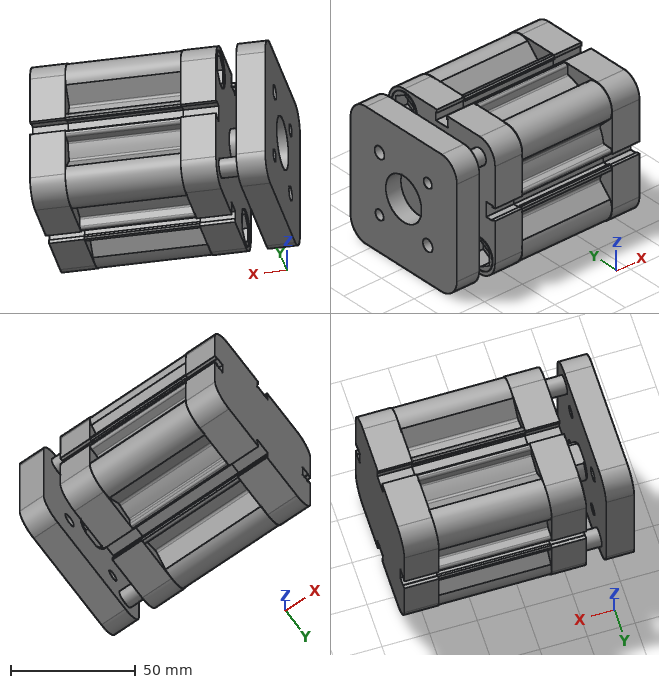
import cadquery as cq
import math


total_length = 96.5
side = 65.5
plate_thickness = 11.85
plate_gap = 8.3
cap_length = 14.5
tube_length = total_length - plate_thickness - plate_gap - 2 * cap_length
front_cap_x = plate_thickness + plate_gap
tube_x = front_cap_x + cap_length
rear_cap_x = tube_x + tube_length

corner_offset = 23.25
corner_radius = side / 2 - corner_offset

plate_bore_diameter = 22.0
plate_bore_depth = 8.0
plate_hole_circle = 42.0
plate_hole_offset = plate_hole_circle / 2 / math.sqrt(2)
pin_hole_diameter = 6.0
screw_hole_diameter = 5.0
guide_rod_diameter = 8.0
guide_rod_corners = [(-corner_offset, corner_offset), (corner_offset, -corner_offset)]

rod_diameter = 16.0
rod_chamfer = 0.65
rod_flats_width = 13.0
rod_flats_length = 6.7
rod_flats_fillet = 0.6

screw_corners = [(corner_offset, corner_offset), (-corner_offset, -corner_offset)]
screw_recess_diameter = 15.5
screw_recess_depth = 0.4
hex_flats = 11.0
hex_depth = 6.3
socket_turn = 30

slot_depth = 5.4
slot_lip = 1.6
slot_cavity_width = 7.2
cap_slot_mouth = 5.9
tube_slot_mouth = 5.2
tube_slot_chamfer = 0.7

tube_side = 65.0
lobe_radius = tube_side / 2 - corner_offset
lobe_edge = 19.2
barrel_radius = 28.1
rail_width = 10.7
rail_edge_fillet = 1.05
rail_root_fillet = 0.7
flank_root_fillet = 1.2
root_tolerance = 0.1


def section(x):
    """Workplane across the piston axis at x: local x is +Y, local y is +Z."""
    return cq.Workplane("YZ", origin=(x, 0, 0))


def rounded_block(x, length, width, radius):
    """Square block along X with rounded long edges."""
    return section(x).rect(width, width).extrude(length).edges("|X").fillet(radius)


def around_axis(shape):
    """The shape turned to each of the four long sides."""
    return [shape.rotate((0, 0, 0), (1, 0, 0), 90 * turn) for turn in range(4)]


def sensor_slot(x, length, width, mouth):
    """Cutter for the undercut slot in the +Z side of a block of the given width.

    The slot floor lies at the same height in the caps and the tube.
    """
    top = width / 2
    neck = section(x).center(0, top - slot_lip / 2).rect(mouth, slot_lip).extrude(length)
    floor = side / 2 - slot_depth
    ceiling = top - slot_lip
    cavity = (
        section(x)
        .center(0, (floor + ceiling) / 2)
        .rect(slot_cavity_width, ceiling - floor)
        .extrude(length)
    )
    return neck.union(cavity)


def make_plate():
    """Yoke plate with its two guide rods, on one diagonal."""
    plate = rounded_block(0, plate_thickness, side, corner_radius)
    plate = plate.cut(section(0).circle(plate_bore_diameter / 2).extrude(plate_bore_depth))
    for y_sign in (-1, 1):
        for z_sign in (-1, 1):
            diameter = pin_hole_diameter if y_sign == z_sign else screw_hole_diameter
            center = (y_sign * plate_hole_offset, z_sign * plate_hole_offset)
            plate = plate.cut(section(0).center(*center).circle(diameter / 2).extrude(plate_thickness))
    guide_rods = (
        section(plate_thickness)
        .pushPoints(guide_rod_corners)
        .circle(guide_rod_diameter / 2)
        .extrude(plate_gap + cap_length)
    )
    return plate.union(guide_rods)


def make_piston_rod():
    """Rod from the plate through the front cap, with two wrench flats at its free end."""
    rod = section(plate_thickness).circle(rod_diameter / 2).extrude(plate_gap + cap_length)
    rod = rod.faces("<X").chamfer(rod_chamfer)
    for z_sign in (-1, 1):
        flat_cutter = (
            cq.Workplane("XY")
            .box(2 * rod_flats_length, rod_diameter, rod_diameter)
            .edges(">X and |Y")
            .fillet(rod_flats_fillet)
            .translate((plate_thickness, 0, z_sign * (rod_flats_width + rod_diameter) / 2))
        )
        rod = rod.cut(flat_cutter)
    return rod


def make_cap(x):
    """Plain end cap with the four sensor slots running through."""
    cap = rounded_block(x, cap_length, side, corner_radius)
    for slot in around_axis(sensor_slot(x, cap_length, side, cap_slot_mouth)):
        cap = cap.cut(slot)
    return cap


def make_front_cap():
    """End cap with rod bores and, on the other diagonal, two hexagon socket screw heads."""
    cap = make_cap(front_cap_x)
    cap = cap.cut(section(front_cap_x).circle(rod_diameter / 2).extrude(cap_length))
    guide_bores = (
        section(front_cap_x)
        .pushPoints(guide_rod_corners)
        .circle(guide_rod_diameter / 2)
        .extrude(cap_length)
    )
    cap = cap.cut(guide_bores)
    recesses = (
        section(front_cap_x)
        .pushPoints(screw_corners)
        .circle(screw_recess_diameter / 2)
        .extrude(screw_recess_depth)
    )
    cap = cap.cut(recesses)
    hex_across_corners = hex_flats / math.cos(math.pi / 6)
    for y, z in screw_corners:
        socket = (
            section(front_cap_x)
            .polygon(6, hex_across_corners)
            .extrude(screw_recess_depth + hex_depth)
            .rotate((0, 0, 0), (1, 0, 0), socket_turn)
            .translate((0, y, z))
        )
        cap = cap.cut(socket)
    return cap


def corner_lobe():
    """Lobe at the (+Y, +Z) corner with its 45 degree web reaching into the barrel."""
    edge_high = corner_offset + math.sqrt(lobe_radius**2 - (corner_offset - lobe_edge) ** 2)
    tip = corner_offset + lobe_radius * math.cos(math.pi / 4)
    return (
        section(tube_x)
        .moveTo(0, edge_high - lobe_edge)
        .lineTo(lobe_edge, edge_high)
        .threePointArc((tip, tip), (edge_high, lobe_edge))
        .lineTo(edge_high - lobe_edge, 0)
        .close()
        .extrude(tube_length)
    )


def slot_rail():
    """Rail on the +Z side, from the barrel axis to the outer face of the tube."""
    height = tube_side / 2
    rail = section(tube_x).center(0, height / 2).rect(rail_width, height).extrude(tube_length)
    return rail.edges("|X and >Z").fillet(rail_edge_fillet)


def fillet_barrel_roots(body, from_middle, to_middle, radius):
    """Round the long concave edges on the barrel surface.

    Only edges within the given range of distances from the middle of a long side are rounded.
    """
    def is_root(edge):
        center = edge.Center()
        on_barrel = abs(math.hypot(center.y, center.z) - barrel_radius) < root_tolerance
        return on_barrel and from_middle < min(abs(center.y), abs(center.z)) < to_middle

    return body.edges("|X").filter(is_root).fillet(radius)


def tube_slot():
    """Cutter for the +Z sensor slot of the tube, with its mouth chamfered."""
    top = tube_side / 2
    half_mouth = tube_slot_mouth / 2
    slot = sensor_slot(tube_x, tube_length, tube_side, tube_slot_mouth)
    flare = (
        section(tube_x)
        .moveTo(-half_mouth, top - tube_slot_chamfer)
        .lineTo(-half_mouth - tube_slot_chamfer, top)
        .lineTo(half_mouth + tube_slot_chamfer, top)
        .lineTo(half_mouth, top - tube_slot_chamfer)
        .close()
        .extrude(tube_length)
    )
    return slot.union(flare)


def make_tube():
    """Profiled tube: round barrel, four corner lobes and four slotted rails."""
    tube = section(tube_x).circle(barrel_radius).extrude(tube_length)
    for part in around_axis(corner_lobe()) + around_axis(slot_rail()):
        tube = tube.union(part)
    tube = fillet_barrel_roots(tube, 0, rail_width, rail_root_fillet)
    tube = fillet_barrel_roots(tube, rail_width, corner_offset, flank_root_fillet)
    for cutter in around_axis(tube_slot()):
        tube = tube.cut(cutter)
    return tube


plate = make_plate()
piston_rod = make_piston_rod()
front_cap = make_front_cap()
tube = make_tube()
rear_cap = make_cap(rear_cap_x)

result = cq.Compound.makeCompound(
    [plate.val(), piston_rod.val(), front_cap.val(), tube.val(), rear_cap.val()]
)